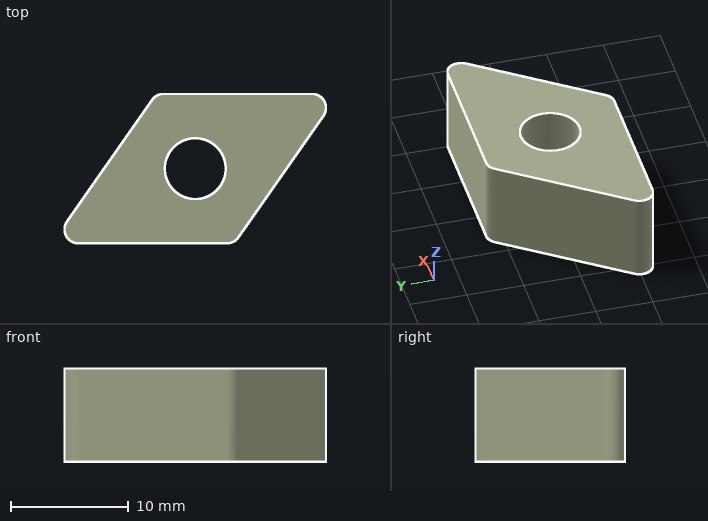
import cadquery as cq
import math

length = 22.2
width = 12.7
thickness = 7.95
acute_angle = math.radians(55)
hole_diameter = 5.15

side = width / math.sin(acute_angle)
lean = width / math.tan(acute_angle)
sharp_length = side + lean

shortening_per_radius = 1 / math.tan(acute_angle / 2) - 1
corner_radius = (sharp_length - length) / 2 / shortening_per_radius

acute_x = sharp_length / 2
obtuse_x = (side - lean) / 2
corners = [
    (-acute_x, -width / 2),
    (obtuse_x, -width / 2),
    (acute_x, width / 2),
    (-obtuse_x, width / 2),
]

body = (
    cq.Workplane("XY")
    .polyline(corners)
    .close()
    .extrude(thickness / 2, both=True)
    .edges("|Z")
    .fillet(corner_radius)
)

result = body.faces(">Z").workplane(origin=(0, 0, 0)).hole(hole_diameter)